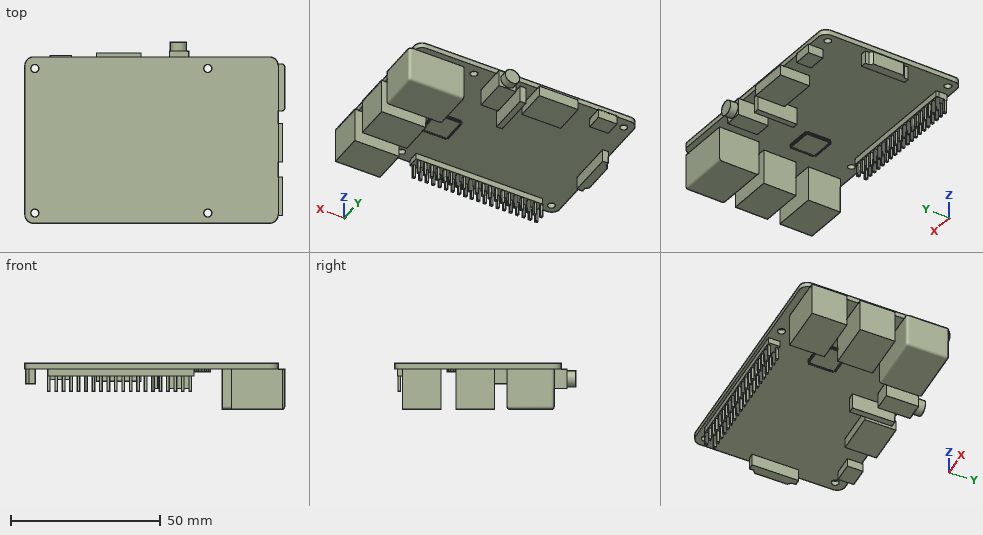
import cadquery as cq


BOARD_LENGTH = 85.0
BOARD_WIDTH = 55.9
BOARD_THICKNESS = 2.0
BOARD_CORNER_RADIUS = 3.05
HOLE_DIAMETER = 2.6
HOLE_COLUMNS_X = (3.4, 61.4)
HOLE_ROWS_Y = (3.5, 52.0)

PORT_HEIGHT = 13.5
ETHERNET_START_X = 66.2
ETHERNET_LENGTH = 21.0
ETHERNET_START_Y = 37.7
ETHERNET_WIDTH = 15.9
ETHERNET_EDGE_RADIUS = 1.05
USB_START_X = 69.3
USB_LENGTH = 17.2
USB_STARTS_Y = (2.6, 20.6)
USB_WIDTH = 13.0

POWER_START_X = 8.55
POWER_LENGTH = 7.15
POWER_START_Y = 50.5
POWER_WIDTH = 5.85
POWER_HEIGHT = 3.5
HDMI_START_X = 24.1
HDMI_LENGTH = 15.0
HDMI_START_Y = 45.5
HDMI_WIDTH = 11.7
HDMI_HEIGHT = 4.1
AUDIO_START_X = 48.5
AUDIO_LENGTH = 6.5
AUDIO_START_Y = 45.8
AUDIO_WIDTH = 12.0
AUDIO_HEIGHT = 6.5
BARREL_CENTER_X = 51.55
BARREL_DIAMETER = 5.6
BARREL_LENGTH = 3.0

CAMERA_START_X = 42.5
CAMERA_LENGTH = 2.2
CAMERA_START_Y = 38.2
CAMERA_WIDTH = 15.8
CAMERA_HEIGHT = 6.5
DISPLAY_FRONT_X = 0.3
DISPLAY_BACK_X = 3.6
DISPLAY_START_Y = 20.85
DISPLAY_WIDTH = 17.4
DISPLAY_HEIGHT = 5.0
DISPLAY_EAR_WIDTH = 1.5
DISPLAY_EAR_SETBACK = 1.1

HEADER_START_X = 7.7
HEADER_LENGTH = 49.1
HEADER_START_Y = 1.0
HEADER_WIDTH = 4.3
HEADER_HEIGHT = 2.35
HEADER_STEP_DEPTH = 0.2
HEADER_STEP_WIDTH = 1.05
PINS_PER_ROW = 20
PIN_SIZE = 0.9
PIN_LENGTH = 5.1
PIN_ROW_LENGTH = 48.3
FRONT_PIN_Y = 1.1
BACK_PIN_Y = 4.2
BACK_ROW_SHIFT = 0.1

CHIP_END_X = 62.4
CHIP_START_Y = 17.6
CHIP_SIZE = 10.5
CHIP_HEIGHT = 0.9
LEADS_PER_SIDE = 10
LEAD_WIDTH = 0.48
LEAD_LENGTH = 0.5


def hanging_block(start_x, start_y, length, width, height):
    """Block that hangs from the component face, placed by its lower left corner."""
    block = cq.Workplane("XY").box(length, width, height, centered=False)
    return block.translate((start_x, start_y, -height))


def make_board():
    """Board with rounded corners and four mounting holes."""
    holes = [(x, y) for x in HOLE_COLUMNS_X for y in HOLE_ROWS_Y]
    return (
        cq.Workplane("XY")
        .box(BOARD_LENGTH, BOARD_WIDTH, BOARD_THICKNESS, centered=False)
        .edges("|Z")
        .fillet(BOARD_CORNER_RADIUS)
        .cut(cq.Workplane("XY").pushPoints(holes).circle(HOLE_DIAMETER / 2).extrude(BOARD_THICKNESS))
    )


def make_ethernet():
    """Network socket with rounded bottom side edges and a rounded outer face."""
    block = hanging_block(ETHERNET_START_X, ETHERNET_START_Y, ETHERNET_LENGTH, ETHERNET_WIDTH, PORT_HEIGHT)
    return block.edges("(<Z and |X) or (>X and |Z) or (>X and <Z)").fillet(ETHERNET_EDGE_RADIUS)


def make_audio():
    """Audio socket: a block with a round barrel sticking out over the back edge."""
    block = hanging_block(AUDIO_START_X, AUDIO_START_Y, AUDIO_LENGTH, AUDIO_WIDTH, AUDIO_HEIGHT)
    barrel = (
        cq.Workplane("XZ")
        .circle(BARREL_DIAMETER / 2)
        .extrude(-(AUDIO_WIDTH + BARREL_LENGTH))
        .translate((BARREL_CENTER_X, AUDIO_START_Y, -AUDIO_HEIGHT / 2))
    )
    return block.union(barrel)


def make_display_connector():
    """Ribbon connector whose two end ears step back from the front at 45 degrees."""
    ear_x = DISPLAY_FRONT_X + DISPLAY_EAR_SETBACK
    end_y = DISPLAY_START_Y + DISPLAY_WIDTH
    lower_ear_y = DISPLAY_START_Y + DISPLAY_EAR_WIDTH
    upper_ear_y = end_y - DISPLAY_EAR_WIDTH
    return (
        cq.Workplane("XY")
        .moveTo(DISPLAY_BACK_X, DISPLAY_START_Y)
        .lineTo(DISPLAY_BACK_X, end_y)
        .lineTo(ear_x, end_y)
        .lineTo(ear_x, upper_ear_y)
        .lineTo(DISPLAY_FRONT_X, upper_ear_y - DISPLAY_EAR_SETBACK)
        .lineTo(DISPLAY_FRONT_X, lower_ear_y + DISPLAY_EAR_SETBACK)
        .lineTo(ear_x, lower_ear_y)
        .lineTo(ear_x, DISPLAY_START_Y)
        .close()
        .extrude(-DISPLAY_HEIGHT)
    )


def make_pin_row(start_x, start_y):
    """Row of square pins under the strip; the start is the lower left corner of its first pin."""
    pitch = (PIN_ROW_LENGTH - PIN_SIZE) / (PINS_PER_ROW - 1)
    corners = [(start_x + i * pitch, start_y) for i in range(PINS_PER_ROW)]
    pin = hanging_block(0, 0, PIN_SIZE, PIN_SIZE, PIN_LENGTH).translate((0, 0, -HEADER_HEIGHT))
    return cq.Workplane("XY").pushPoints(corners).eachpoint(pin.val(), combine="a")


def make_header():
    """Pin strip with a shallow step in its left end; the back row of pins sits slightly to the left."""
    strip = hanging_block(HEADER_START_X, HEADER_START_Y, HEADER_LENGTH, HEADER_WIDTH, HEADER_HEIGHT)
    step = hanging_block(
        HEADER_START_X,
        HEADER_START_Y + HEADER_WIDTH - HEADER_STEP_WIDTH,
        HEADER_STEP_DEPTH,
        HEADER_STEP_WIDTH,
        HEADER_HEIGHT,
    )
    front_row = make_pin_row(HEADER_START_X, FRONT_PIN_Y)
    back_row = make_pin_row(HEADER_START_X - BACK_ROW_SHIFT, BACK_PIN_Y)
    return strip.union(front_row).union(back_row).cut(step)


def make_chip():
    """Square chip with a row of short leads on each side."""
    body_size = CHIP_SIZE - 2 * LEAD_LENGTH
    pitch = 2 * LEAD_WIDTH
    leads_x = cq.Workplane("XY").rarray(0.9, pitch, 1, LEADS_PER_SIDE).rect(CHIP_SIZE, LEAD_WIDTH)
    leads_y = cq.Workplane("XY").rarray(pitch, 0.9, LEADS_PER_SIDE, 1).rect(LEAD_WIDTH, CHIP_SIZE)
    chip = cq.Workplane("XY").rect(body_size, body_size).extrude(-CHIP_HEIGHT)
    for leads in (leads_x, leads_y):
        chip = chip.union(leads.extrude(-CHIP_HEIGHT))
    return chip.translate((CHIP_END_X - CHIP_SIZE / 2, CHIP_START_Y + CHIP_SIZE / 2, 0))


components = [
    make_ethernet(),
    hanging_block(POWER_START_X, POWER_START_Y, POWER_LENGTH, POWER_WIDTH, POWER_HEIGHT),
    hanging_block(HDMI_START_X, HDMI_START_Y, HDMI_LENGTH, HDMI_WIDTH, HDMI_HEIGHT),
    make_audio(),
    hanging_block(CAMERA_START_X, CAMERA_START_Y, CAMERA_LENGTH, CAMERA_WIDTH, CAMERA_HEIGHT),
    make_display_connector(),
    make_header(),
    make_chip(),
]
for usb_start_y in USB_STARTS_Y:
    components.append(hanging_block(USB_START_X, usb_start_y, USB_LENGTH, USB_WIDTH, PORT_HEIGHT))

result = make_board()
for component in components:
    result = result.union(component)